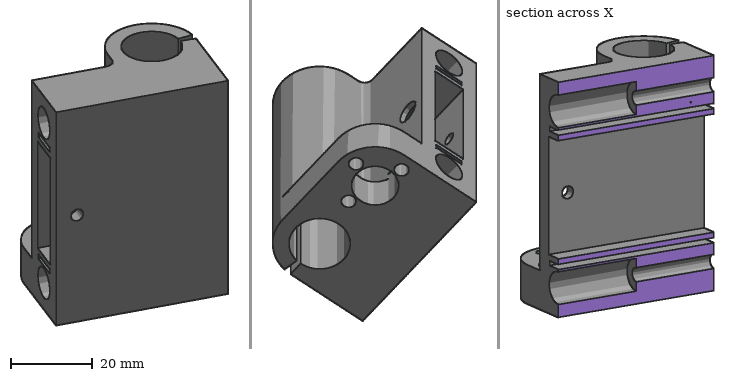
import cadquery as cq
import math

width = 34.0
depth = 45.0
height = 60.0

sleeve_radius = 11.5
bore_diameter = 15.0
sleeve_x = sleeve_radius
sleeve_y = depth - sleeve_radius
split_angle = 10.0

wall_x = 17.0
wall_middle_x = (wall_x + width) / 2
foot_height = 10.0
inner_fillet = 2.5

opening_diameter = 11.5
opening_top = 12.0
opening_x = sleeve_radius
opening_y = sleeve_radius
foot_screw_diameter = 3.6
foot_screw_circle_radius = 8.0
foot_screw_count = 3
foot_screw_first_angle = 106.0
foot_screw_step = 90.0

window_width = 8.75
window_height = 30.0
slot_width = 8.0
slot_height = 1.2
slot_offset = 17.1
bolt_offset = 22.5
bolt_diameter = 3.5
bolt_head_diameter = 8.2
bolt_head_depth = depth / 2

cross_screw_y = 5.5
cross_screw_diameter = 3.2
cross_head_diameter = 6.0
cross_head_depth = 1.5

middle_z = height / 2


def cylinder_z(x, y, diameter, top):
    """Vertical cylinder standing on the bottom plane."""
    return cq.Workplane("XY").center(x, y).circle(diameter / 2).extrude(top)


def cylinder_y(z, diameter, length):
    """Cylinder on the wall centre line, running back from the front face."""
    return cq.Workplane("XZ").center(wall_middle_x, z).circle(diameter / 2).extrude(-length)


def cylinder_x(diameter, length):
    """Cross screw cylinder, running right from the inner face of the wall."""
    plane = cq.Workplane("YZ", origin=(wall_x, 0, 0))
    return plane.center(cross_screw_y, middle_z).circle(diameter / 2).extrude(length)


def wall_passage(z, size_x, size_z):
    """Rectangular passage along the full depth of the wall."""
    return cq.Workplane("XZ").center(wall_middle_x, z).rect(size_x, size_z).extrude(-depth)


def make_body():
    """Sleeve and wall as one full-height body, with the foot filling its front left corner."""
    sleeve_front_y = sleeve_y - sleeve_radius
    fillet_mid = inner_fillet * (1 - math.sqrt(0.5))
    upright = (
        cq.Workplane("XY")
        .moveTo(wall_x, 0)
        .lineTo(wall_x, sleeve_front_y - inner_fillet)
        .threePointArc(
            (wall_x - fillet_mid, sleeve_front_y - fillet_mid),
            (wall_x - inner_fillet, sleeve_front_y),
        )
        .lineTo(sleeve_x, sleeve_front_y)
        .threePointArc((sleeve_x - sleeve_radius, sleeve_y), (sleeve_x, depth))
        .lineTo(width, depth)
        .lineTo(width, 0)
        .close()
        .extrude(height)
    )
    foot = cq.Workplane("XY").box(width, sleeve_y, foot_height, centered=False)
    foot = foot.edges("|Z and <X and <Y").fillet(sleeve_radius)
    return upright.union(foot)


def make_split():
    """Wedge from the bore axis through the back of the sleeve."""
    split_width = sleeve_radius * math.tan(math.radians(split_angle))
    return (
        cq.Workplane("XY")
        .moveTo(sleeve_x, sleeve_y)
        .lineTo(sleeve_x, depth)
        .lineTo(sleeve_x - split_width, depth)
        .close()
        .extrude(height)
    )


result = make_body()

result = result.cut(cylinder_z(sleeve_x, sleeve_y, bore_diameter, height), clean=False)
result = result.cut(make_split(), clean=False)

result = result.cut(cylinder_z(opening_x, opening_y, opening_diameter, opening_top), clean=False)
for index in range(foot_screw_count):
    angle = math.radians(foot_screw_first_angle + index * foot_screw_step)
    screw_x = opening_x + foot_screw_circle_radius * math.cos(angle)
    screw_y = opening_y + foot_screw_circle_radius * math.sin(angle)
    result = result.cut(cylinder_z(screw_x, screw_y, foot_screw_diameter, foot_height), clean=False)

result = result.cut(wall_passage(middle_z, window_width, window_height), clean=False)
for side in (-1, 1):
    bolt_z = middle_z + side * bolt_offset
    result = result.cut(wall_passage(middle_z + side * slot_offset, slot_width, slot_height), clean=False)
    result = result.cut(cylinder_y(bolt_z, bolt_diameter, depth), clean=False)
    result = result.cut(cylinder_y(bolt_z, bolt_head_diameter, bolt_head_depth), clean=False)

result = result.cut(cylinder_x(cross_screw_diameter, width - wall_x), clean=False)
result = result.cut(cylinder_x(cross_head_diameter, cross_head_depth), clean=False)